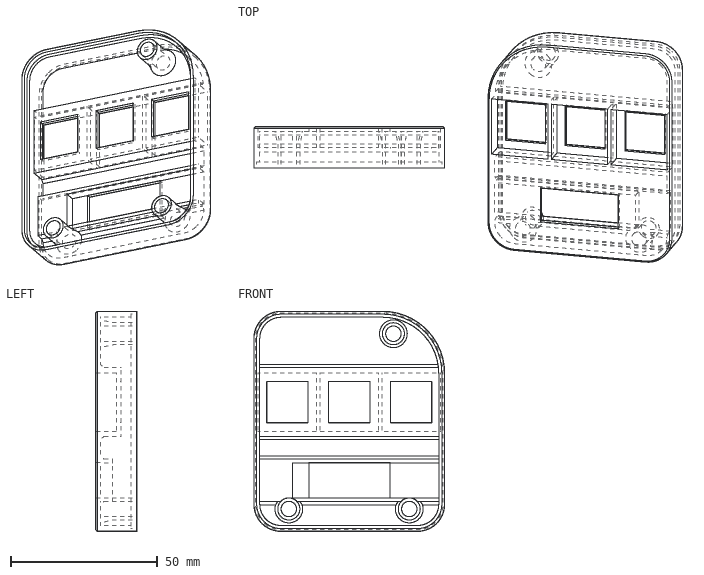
import cadquery as cq

width = 65.0
depth = 14.1
height = 75.0
corner_radius = 9.3
large_corner_radius = 21.15
back_edge_chamfer = 0.6

wall = 2.0
lip_width = 1.0
lip_depth = 2.0
panel_thickness = 1.7
panel_y = depth - panel_thickness
base_chamfer = 1.05

key_plate_y = 5.5
key_plate_bottom = 32.3
key_plate_height = 23.5
key_opening = 14.0
key_relief = 19.9
key_pitch = 21.1
key_plate_thickness = 1.5
key_count = 3

display_y = 8.25
display_bottom = 10.1
display_height = 14.55
rib_thickness = 1.3
pocket_left = 13.1
window_left = 18.8
window_width = 27.5
window_overcut = 0.1

boss_centers = [(47.55, 67.35), (11.9, 7.65), (52.95, 7.65)]
boss_diameter = 7.5
boss_hole_diameter = 5.25
boss_base_flare = 1.0
boss_flare_length = 4.35


def box(x, y, z, size_x, size_y, size_z):
    """Box with its lowest corner at (x, y, z)."""
    return cq.Workplane("XY").box(size_x, size_y, size_z, centered=False).translate((x, y, z))


def square_hole(x, z, size, y_start, y_end):
    """Square cutter centred on (x, z), running along Y."""
    return box(x - size / 2, y_start, z - size / 2, size, y_end - y_start, size)


def rounded_body(inset, y_start, y_end):
    """Housing outline moved inwards by inset, extruded along Y."""
    body = box(inset, y_start, inset, width - 2 * inset, y_end - y_start, height - 2 * inset)
    body = body.edges("|Y and (<X or <Z)").fillet(corner_radius - inset)
    return body.edges("|Y and >X and >Z").fillet(large_corner_radius - inset)


def raised_block(front_y, bottom, block_height):
    """Block across the inside of the housing, flared at 45 degrees where it meets the back panel."""
    top = bottom + block_height
    flare_y = panel_y - base_chamfer
    root_y = panel_y + panel_thickness / 2
    profile = [
        (front_y, bottom),
        (flare_y, bottom),
        (panel_y, bottom - base_chamfer),
        (root_y, bottom - base_chamfer),
        (root_y, top + base_chamfer),
        (panel_y, top + base_chamfer),
        (flare_y, top),
        (front_y, top),
    ]
    inside_width = width - 2 * wall
    return cq.Workplane("YZ").polyline(profile).close().extrude(inside_width).translate((wall, 0, 0))


def cylinder(x, z, diameter, y_start, y_end):
    """Cylinder along Y."""
    plane = cq.Workplane("XZ", origin=(x, y_start, z))
    return plane.circle(diameter / 2).extrude(y_start - y_end)


def boss(x, z):
    """Screw boss that widens into a cone towards the back panel."""
    radius = boss_diameter / 2
    flare_y = panel_y - boss_flare_length
    profile = [
        (0, 0),
        (radius, 0),
        (radius, flare_y),
        (radius + boss_base_flare, panel_y),
        (0, panel_y),
    ]
    return cq.Workplane("XY").polyline(profile).close().revolve(360, (0, 0), (0, 1)).translate((x, 0, z))


result = rounded_body(0, 0, depth).faces(">Y").chamfer(back_edge_chamfer)
result = result.cut(rounded_body(wall, 0, panel_y))
result = result.cut(rounded_body(lip_width, 0, lip_depth))

result = result.union(raised_block(key_plate_y, key_plate_bottom, key_plate_height))
result = result.union(raised_block(display_y, display_bottom, display_height))

key_z = key_plate_bottom + key_plate_height / 2
relief_y = key_plate_y + key_plate_thickness
for index in range(key_count):
    key_x = width / 2 + (index - (key_count - 1) / 2) * key_pitch
    result = result.cut(square_hole(key_x, key_z, key_opening, key_plate_y, relief_y))
    result = result.cut(square_hole(key_x, key_z, key_relief, relief_y, depth))

for x, z in boss_centers:
    result = result.union(boss(x, z))
for x, z in boss_centers:
    result = result.cut(cylinder(x, z, boss_hole_diameter, 0, panel_y))

pocket_bottom = display_bottom + rib_thickness
pocket_height = display_height - 2 * rib_thickness
window_bottom = pocket_bottom - window_overcut
window_height = pocket_height + 2 * window_overcut
pocket_width = width - wall - pocket_left
pocket_depth = panel_y - display_y
result = result.cut(box(pocket_left, display_y, pocket_bottom, pocket_width, pocket_depth, pocket_height))
result = result.cut(box(window_left, panel_y, window_bottom, window_width, panel_thickness, window_height))